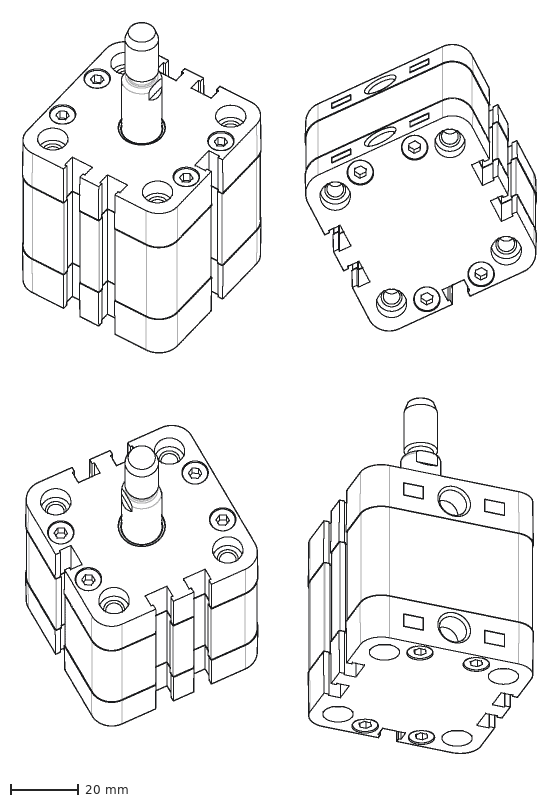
import cadquery as cq
import math

body_width = 54.8
barrel_width = 54.3
body_height = 60.0
cap_height = 14.5
cap_draft = 0.7
corner_centre = 20.6
total_height = 101.0
barrel_height = body_height - 2 * cap_height
front_seam = body_height - cap_height

slot_offset = 6.4
slot_opening = 5.6
slot_inner_width = 7.0
slot_lip_plane = 25.5
slot_floor_plane = 21.9
slot_lip_round = 0.2
slot_cap_clearance = 0.15
slot_reach = body_width

mount_offset = 19.0
mount_counterbore_diameter = 9.0
mount_counterbore_depth = 5.3
mount_chamfer_diameter = 6.2
mount_hole_diameter = 4.9

screw_x = 22.4
screw_y = 9.0
screw_recess_diameter = 7.9
screw_head_diameter = 7.5
screw_recess_depth = 0.4
socket_across_corners = 3.9
socket_depth = 3.0

port_diameter = 8.6
port_chamfer = 0.9
port_end_inset = 8.0
port_floor_diameter = 40.0

label_offset = 12.9
label_length = 6.3
label_height = 4.2
label_depth = 0.2
label_end_inset = 7.2

rod_diameter = 12.0
thread_diameter = 10.0
neck_diameter = 7.7
shoulder_plane = 82.0
shoulder_round = 1.2
neck_fillet = 0.3
thread_start_plane = 84.9
thread_start_chamfer_height = 0.6
thread_end_diameter = 8.1
thread_end_chamfer_height = 2.8
flats_width = 10.0
flats_bottom_plane = 77.8

wiper_outer_diameter = 14.0
wiper_wall_diameter = 13.7
wiper_floor_diameter = 12.5
wiper_depth = 0.4


def rounded_block(width, height, draft=0.0):
    """Square block on Z = 0 with round corners, narrowing upwards by the draft angle."""
    corner_radius = width / 2 - corner_centre
    outline = cq.Sketch().rect(width, width).vertices().fillet(corner_radius)
    return cq.Workplane("XY").placeSketch(outline).extrude(height, taper=draft)


def turned(outline):
    """Solid of revolution around Z from a closed (radius, height) outline."""
    return outline.revolve(360, (0, 0), (0, 1))


def side_slot(height, clearance):
    """Cutter for one T-slot, open towards +Y and centred on X = 0."""
    floor_plane = slot_floor_plane - clearance
    inner_width = slot_inner_width + 2 * clearance
    inner_depth = slot_lip_plane + clearance - floor_plane
    opening_width = slot_opening + 2 * clearance
    inner = cq.Workplane("XY").box(inner_width, inner_depth, height, centered=(True, False, False))
    opening = cq.Workplane("XY").box(opening_width, slot_reach, height, centered=(True, False, False))
    return inner.union(opening).translate((0, floor_plane, 0))


def cut_slots(block, height, clearance=0.0):
    """Two slots on -Y, two on +Y and one on +X."""
    slot = side_slot(height, clearance)
    for angle in (0, 180):
        for x in (-slot_offset, slot_offset):
            block = block.cut(slot.translate((x, 0, 0)).rotate((0, 0, 0), (0, 0, 1), angle))
    return block.cut(slot.rotate((0, 0, 0), (0, 0, 1), -90))


def mounting_holes():
    """Cutters for the four counterbored corner holes, from the cap's outer end."""
    chamfer = (mount_chamfer_diameter - mount_hole_diameter) / 2
    seat = cap_height - mount_counterbore_depth
    profile = [
        (0, 0),
        (mount_hole_diameter / 2, 0),
        (mount_hole_diameter / 2, seat - chamfer),
        (mount_chamfer_diameter / 2, seat),
        (mount_counterbore_diameter / 2, seat),
        (mount_counterbore_diameter / 2, cap_height),
        (0, cap_height),
    ]
    hole = turned(cq.Workplane("XZ").polyline(profile).close()).val()
    corners = cq.Workplane("XY").rect(2 * mount_offset, 2 * mount_offset, forConstruction=True)
    return corners.vertices().eachpoint(lambda place: hole.moved(place))


def cut_screw_heads(cap):
    """Sunk screw heads with a bevelled rim and a hexagon socket."""
    places = [(x, y) for x in (-screw_x, screw_x) for y in (-screw_y, screw_y)]
    rim_angle = math.degrees(
        math.atan((screw_recess_diameter - screw_head_diameter) / 2 / screw_recess_depth)
    )
    recess = (
        cq.Workplane("XY", origin=(0, 0, cap_height))
        .pushPoints(places)
        .circle(screw_recess_diameter / 2)
        .extrude(-screw_recess_depth, taper=rim_angle)
    )
    hexagon = cq.Sketch().regularPolygon(socket_across_corners / 2, 6)
    sockets = (
        cq.Workplane("XY", origin=(0, 0, cap_height - screw_recess_depth))
        .pushPoints(places)
        .placeSketch(hexagon)
        .extrude(-socket_depth)
    )
    return cap.cut(recess).cut(sockets)


def cap_side_x(inset):
    """X of the drafted -X side of a cap, at a distance from its outer end."""
    return -body_width / 2 + (cap_height - inset) * math.tan(math.radians(cap_draft))


def cut_port(cap):
    """Chamfered port from -X, ending on a cylinder around the Z axis."""
    mouth_x = cap_side_x(port_end_inset)
    port_z = cap_height - port_end_inset
    mouth_radius = port_diameter / 2 + port_chamfer
    profile = [
        (-body_width, 0),
        (-body_width, mouth_radius),
        (mouth_x, mouth_radius),
        (mouth_x + port_chamfer, port_diameter / 2),
        (0, port_diameter / 2),
        (0, 0),
    ]
    bore = cq.Workplane("XY").polyline(profile).close().revolve(360, (0, 0), (1, 0))
    core = cq.Workplane("XY").circle(port_floor_diameter / 2).extrude(cap_height)
    return cap.cut(bore.translate((0, 0, port_z)).cut(core))


def cut_labels(cap):
    """Shallow rectangular panels on both sides of the port."""
    floor_x = cap_side_x(label_end_inset) + label_depth
    label_z = cap_height - label_end_inset
    panels = (
        cq.Workplane("YZ", origin=(floor_x, 0, label_z))
        .pushPoints([(-label_offset, 0), (label_offset, 0)])
        .rect(label_length, label_height)
        .extrude(-label_length)
    )
    return cap.cut(panels)


def make_cap():
    """End cap with its seam on Z = 0 and its outer end facing up."""
    cap = rounded_block(body_width, cap_height, cap_draft)
    cap = cut_slots(cap, cap_height, slot_cap_clearance)
    cap = cap.cut(mounting_holes())
    cap = cut_screw_heads(cap)
    cap = cut_port(cap)
    return cut_labels(cap)


def make_front_cap():
    """Upper cap, bored for the rod with a sunk, chamfered wiper seat."""
    seat_floor = cap_height - wiper_depth
    rod_lead_in = (wiper_floor_diameter - rod_diameter) / 2
    mouth_chamfer = (wiper_outer_diameter - wiper_wall_diameter) / 2
    profile = [
        (0, 0),
        (rod_diameter / 2, 0),
        (rod_diameter / 2, seat_floor - rod_lead_in),
        (wiper_floor_diameter / 2, seat_floor),
        (wiper_wall_diameter / 2, seat_floor),
        (wiper_wall_diameter / 2, cap_height - mouth_chamfer),
        (wiper_outer_diameter / 2, cap_height),
        (0, cap_height),
    ]
    rod_bore = turned(cq.Workplane("XZ").polyline(profile).close())
    return make_cap().cut(rod_bore).translate((0, 0, front_seam))


def make_rear_cap():
    """Lower cap, the mirror image of the upper one without the rod bore."""
    return make_cap().mirror("XY").translate((0, 0, cap_height))


def is_slot_mouth_edge(edge):
    """True for an upright barrel edge where a slot wall meets the outer side."""
    tolerance = 0.01
    middle = edge.Center()
    from_y_slot = abs(abs(middle.x) - slot_offset)
    on_y_slot = abs(from_y_slot - slot_opening / 2) < tolerance
    on_x_slot = abs(abs(middle.y) - slot_opening / 2) < tolerance
    beyond_y_lip = abs(middle.y) > slot_lip_plane + tolerance
    beyond_x_lip = middle.x > slot_lip_plane + tolerance
    return (on_y_slot and beyond_y_lip) or (on_x_slot and beyond_x_lip)


def make_barrel():
    """Profiled barrel between the caps, with rounded slot mouths."""
    barrel = cut_slots(rounded_block(barrel_width, barrel_height), barrel_height)
    mouth_edges = [edge for edge in barrel.edges("|Z").vals() if is_slot_mouth_edge(edge)]
    barrel = barrel.newObject(mouth_edges).fillet(slot_lip_round)
    return barrel.translate((0, 0, cap_height))


def make_rod():
    """Stepped rod standing on the barrel, with a threaded end and two wrench flats."""
    rod_radius = rod_diameter / 2
    thread_radius = thread_diameter / 2
    neck_radius = neck_diameter / 2
    round_mid = shoulder_round * math.sqrt(0.5)
    fillet_mid = neck_fillet * (1 - math.sqrt(0.5))
    profile = (
        cq.Workplane("XZ")
        .moveTo(0, front_seam)
        .lineTo(rod_radius, front_seam)
        .lineTo(rod_radius, shoulder_plane - shoulder_round)
        .threePointArc(
            (rod_radius - shoulder_round + round_mid, shoulder_plane - shoulder_round + round_mid),
            (rod_radius - shoulder_round, shoulder_plane),
        )
        .lineTo(neck_radius + neck_fillet, shoulder_plane)
        .threePointArc(
            (neck_radius + fillet_mid, shoulder_plane + fillet_mid),
            (neck_radius, shoulder_plane + neck_fillet),
        )
        .lineTo(neck_radius, thread_start_plane - thread_start_chamfer_height)
        .lineTo(thread_radius, thread_start_plane)
        .lineTo(thread_radius, total_height - thread_end_chamfer_height)
        .lineTo(thread_end_diameter / 2, total_height)
        .lineTo(0, total_height)
        .close()
    )
    rod = turned(profile)
    return rod.cut(flat_cutter(1)).cut(flat_cutter(-1))


def flat_cutter(side):
    """Cutter for the wrench flat on one X side; its lower end slopes out at 45 degrees."""
    flat_x = flats_width / 2
    reach = rod_diameter / 2
    outline = [
        (side * flat_x, flats_bottom_plane),
        (side * flat_x, shoulder_plane),
        (side * (flat_x + reach), shoulder_plane),
        (side * (flat_x + reach), flats_bottom_plane - reach),
    ]
    return cq.Workplane("XZ").polyline(outline).close().extrude(rod_diameter, both=True)


front_cap = make_front_cap()
rear_cap = make_rear_cap()
barrel = make_barrel()
rod = make_rod()

bodies = [front_cap, rear_cap, barrel, rod]
result = cq.Compound.makeCompound([body.solids().val() for body in bodies])